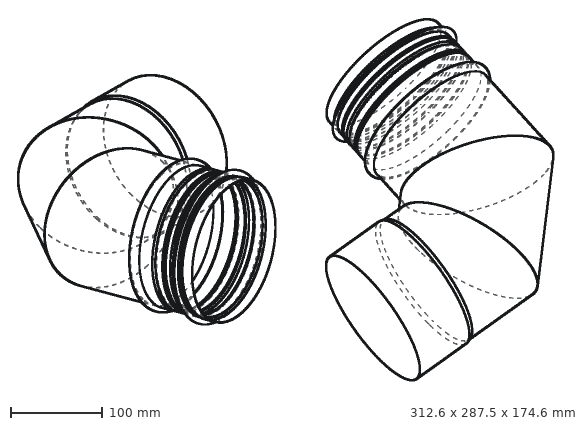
import cadquery as cq
import math


wall = 0.7
tube_bore_radius = 160.6 / 2
tube_radius = tube_bore_radius + wall
leg_angle = 90.0
segment_count = 3
mitre_angle = leg_angle / (segment_count - 1) / 2
mitre_offset = 66.3

socket_radius = 165.4 / 2
socket_end = 200.2
socket_depth = 69.8
socket_taper_length = 5.2

spigot_end = 312.6 - socket_radius
bead_radius = 6.5
bead_from_end = 76.7
groove_radius = 157.0 / 2
groove_slope = tube_radius - groove_radius
band_groove_from_end = 44.3
band_groove_width = 18.0
lip_groove_from_end = 21.2
lip_groove_width = 16.4

band_radius = 161.6 / 2
band_width = 8.8
seal_base_radius = 160.6 / 2
seal_end_gap = 0.5
seal_base_width = lip_groove_width - 2 * (groove_slope + seal_end_gap)
lip_radius = 174.6 / 2
lip_thickness = 0.6
lip_from_end = 19.1


def half_space(point, normal):
    """Large block filling the side of a plane that its normal points to."""
    size = 1000.0
    plane = cq.Plane(origin=point, xDir=(0, 0, 1), normal=normal)
    return cq.Workplane(plane).rect(size, size).extrude(size)


def along(angle):
    """Unit direction in the XY plane."""
    return (math.cos(math.radians(angle)), math.sin(math.radians(angle)), 0)


spigot_mitre = half_space((mitre_offset, 0, 0), along(-mitre_angle))
socket_mitre = half_space((0, mitre_offset, 0), along(leg_angle + mitre_angle))


def make_socket_segment():
    """Mitred tube that widens through a short taper into the open socket."""
    taper_end = socket_end - socket_depth
    taper_start = taper_end - socket_taper_length
    start = -tube_radius
    profile = (
        cq.Workplane("XY")
        .moveTo(tube_bore_radius, start)
        .lineTo(tube_radius, start)
        .lineTo(tube_radius, taper_start)
        .lineTo(socket_radius, taper_end)
        .lineTo(socket_radius, socket_end)
        .lineTo(socket_radius - wall, socket_end)
        .lineTo(socket_radius - wall, taper_end)
        .lineTo(tube_bore_radius, taper_start)
        .close()
    )
    return profile.revolve(360, (0, 0, 0), (0, 1, 0)).intersect(socket_mitre)


def make_middle_segment():
    """Diagonal tube between the two mitre planes."""
    direction = along(leg_angle + 2 * mitre_angle)
    half_length = mitre_offset + 2 * tube_radius
    middle = mitre_offset / 2
    start = (middle - direction[0] * half_length, middle - direction[1] * half_length, 0)
    tube = (
        cq.Workplane(cq.Plane(origin=start, xDir=(0, 0, 1), normal=direction))
        .circle(tube_radius)
        .circle(tube_bore_radius)
        .extrude(2 * half_length)
    )
    return tube.cut(spigot_mitre).cut(socket_mitre)


def spigot_tube(drop, start):
    """Solid of revolution of the beaded, grooved spigot, with its skin lowered by drop."""
    radius = tube_radius - drop
    floor = groove_radius - drop
    arc_radius = bead_radius - drop
    arc_half_width = math.sqrt(arc_radius**2 - (radius - tube_bore_radius) ** 2)
    bead_x = spigot_end - bead_from_end
    profile = (
        cq.Workplane("XY")
        .moveTo(start, 0)
        .lineTo(start, radius)
        .lineTo(bead_x - arc_half_width, radius)
        .threePointArc((bead_x, tube_bore_radius + arc_radius), (bead_x + arc_half_width, radius))
    )
    for from_end, width in (
        (band_groove_from_end, band_groove_width),
        (lip_groove_from_end, lip_groove_width),
    ):
        left = spigot_end - from_end - width / 2
        right = left + width
        profile = (
            profile.lineTo(left, radius)
            .lineTo(left + groove_slope, floor)
            .lineTo(right - groove_slope, floor)
            .lineTo(right, radius)
        )
    profile = profile.lineTo(spigot_end, radius).lineTo(spigot_end, 0).close()
    return profile.revolve(360, (0, 0, 0), (1, 0, 0))


def make_spigot_segment():
    """Mitred tube with a rolled stop bead and two rolled seal grooves."""
    start = -tube_radius
    return spigot_tube(0, start).cut(spigot_tube(wall, start)).intersect(spigot_mitre)


def spigot_ring(radius, width, from_end):
    """Ring around the spigot axis, seated on the groove floor and centred at from_end."""
    plane = cq.Workplane("YZ", origin=(spigot_end - from_end - width / 2, 0, 0))
    return plane.circle(radius).circle(groove_radius).extrude(width)


def make_band_seal():
    """Flat sealing band."""
    return spigot_ring(band_radius, band_width, band_groove_from_end)


def make_lip_seal():
    """Flat base with a small clearance at each end, which carries one thin lip."""
    base = spigot_ring(seal_base_radius, seal_base_width, lip_groove_from_end)
    return base.union(spigot_ring(lip_radius, lip_thickness, lip_from_end))


socket_segment = make_socket_segment()
middle_segment = make_middle_segment()
spigot_segment = make_spigot_segment()
band_seal = make_band_seal()
lip_seal = make_lip_seal()

result = cq.Compound.makeCompound([
    socket_segment.val(),
    middle_segment.val(),
    spigot_segment.val(),
    band_seal.val(),
    lip_seal.val(),
])